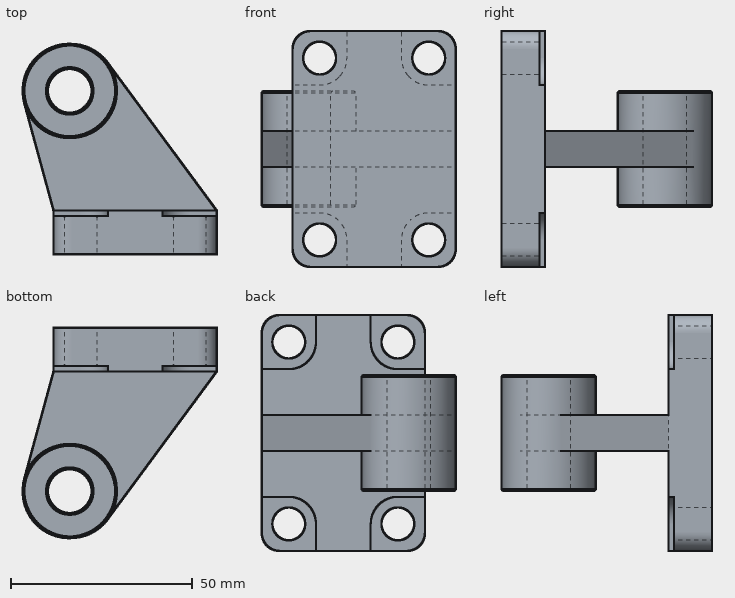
import cadquery as cq
import math

plate_width = 45.0
plate_height = 65.0
plate_thickness = 12.0
plate_corner_radius = 5.0

hole_diameter = 9.0
hole_edge_distance = 7.5
seat_radius = 7.5
seat_depth = 1.5

boss_diameter = 26.0
boss_length = 32.0
bore_diameter = 12.0
boss_chamfer = 0.5
boss_offset = 4.5
boss_distance = 45.0
web_thickness = 10.0

boss_radius = boss_diameter / 2
half_width = plate_width / 2
half_height = plate_height / 2
boss_x = boss_offset - half_width
hole_x = half_width - hole_edge_distance
hole_z = half_height - hole_edge_distance


def make_plate():
    return (
        cq.Workplane("XY")
        .box(plate_width, plate_thickness, plate_height, centered=(True, False, True))
        .edges("|Y")
        .fillet(plate_corner_radius)
    )


def make_seat(side_x, side_z):
    """Corner relief open to both plate edges, its inner corner rounded about the hole."""
    reach = hole_edge_distance + seat_radius
    center_x = side_x * (half_width - reach / 2)
    center_z = side_z * (half_height - reach / 2)
    inner_corner = ("<X" if side_x > 0 else ">X") + " and " + ("<Z" if side_z > 0 else ">Z")
    return (
        cq.Workplane("XY")
        .box(reach, seat_depth, reach)
        .edges("|Y")
        .edges(inner_corner)
        .fillet(seat_radius)
        .translate((center_x, plate_thickness - seat_depth / 2, center_z))
    )


def make_hole(side_x, side_z):
    return (
        cq.Workplane("XZ")
        .center(side_x * hole_x, side_z * hole_z)
        .circle(hole_diameter / 2)
        .extrude(-plate_thickness)
    )


def tangent_point(corner_x, side):
    """Point where a line from a rear plate corner touches the boss on the given side."""
    run_x = corner_x - boss_x
    run_y = plate_thickness - boss_distance
    direction = math.atan2(run_y, run_x)
    spread = math.acos(boss_radius / math.hypot(run_x, run_y))
    angle = direction + side * spread
    return boss_x + boss_radius * math.cos(angle), boss_distance + boss_radius * math.sin(angle)


def make_web():
    """Flat web whose sides run from the plate corners tangent to the boss."""
    return (
        cq.Workplane("XY")
        .workplane(offset=-web_thickness / 2)
        .moveTo(-half_width, plate_thickness)
        .lineTo(half_width, plate_thickness)
        .lineTo(*tangent_point(half_width, 1))
        .lineTo(*tangent_point(-half_width, -1))
        .close()
        .extrude(web_thickness)
    )


def make_boss():
    return (
        cq.Workplane("XY")
        .workplane(offset=-boss_length / 2)
        .center(boss_x, boss_distance)
        .circle(boss_radius)
        .extrude(boss_length)
        .edges("%CIRCLE")
        .chamfer(boss_chamfer)
    )


def make_bore():
    """Through bore with a chamfer at each mouth."""
    bore = (
        cq.Workplane("XY")
        .workplane(offset=-boss_length / 2)
        .center(boss_x, boss_distance)
        .circle(bore_diameter / 2)
        .extrude(boss_length)
    )
    for end in (-1, 1):
        mouth = cq.Solid.makeCone(
            bore_diameter / 2 + boss_chamfer,
            bore_diameter / 2,
            boss_chamfer,
            pnt=cq.Vector(boss_x, boss_distance, end * boss_length / 2),
            dir=cq.Vector(0, 0, -end),
        )
        bore = bore.union(cq.Workplane(mouth))
    return bore


plate = make_plate()
for side_x in (-1, 1):
    for side_z in (-1, 1):
        plate = plate.cut(make_seat(side_x, side_z)).cut(make_hole(side_x, side_z))

result = plate.union(make_web()).union(make_boss()).cut(make_bore())